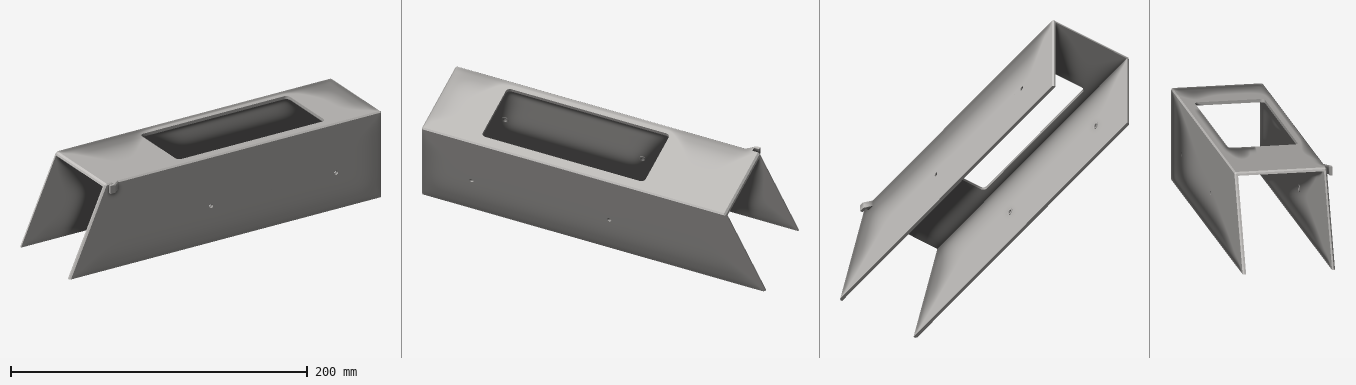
import cadquery as cq

LENGTH = 249.2
WIDTH = 63.5
HEIGHT = 63.8
THICKNESS = 2.2
EDGE_CHAMFER = 1.0
FRONT_SETBACK = 29.0

WINDOW_WIDTH = 48.0
WINDOW_LENGTH = 118.0
WINDOW_REAR_MARGIN = 40.0
WINDOW_RADIUS = 3.0
WINDOW_LEFT_MARGIN = 8.2

HOLE_DIAMETER = 3.0
PAD_DIAMETER = 5.0
PAD_HEIGHT = 0.5
HOLE_HEIGHT = 27.0
HOLE_REAR_OFFSETS = (36.5, 136.3)

HOOK_REACH = 4.0
HOOK_DEPTH = 6.0
HOOK_FRONT = 30.1
HOOK_FINGER_LENGTH = 3.7
HOOK_FINGER_WIDTH = 2.0
HOOK_ARM_ROOT = 6.2
HOOK_CHAMFER = 0.7


def side_profile_solid(start_x, width):
    """Wall-shaped block with a raked front, extruded along X."""
    return (
        cq.Workplane("YZ", origin=(start_x, 0, 0))
        .polyline([(0, 0), (LENGTH, 0), (LENGTH, HEIGHT), (FRONT_SETBACK, HEIGHT)])
        .close()
        .extrude(width)
    )


def make_channel():
    outer = side_profile_solid(0, WIDTH)
    outer = outer.edges("not(<Z)").chamfer(EDGE_CHAMFER)
    cavity = cq.Workplane("XY").box(
        WIDTH - 2 * THICKNESS, LENGTH, HEIGHT - THICKNESS, centered=False
    )
    return outer.cut(cavity.translate((THICKNESS, 0, 0)))


def make_window():
    front_y = LENGTH - WINDOW_REAR_MARGIN - WINDOW_LENGTH
    return (
        cq.Workplane("XY", origin=(WINDOW_LEFT_MARGIN, front_y, HEIGHT / 2))
        .box(WINDOW_WIDTH, WINDOW_LENGTH, HEIGHT, centered=False)
        .edges("|Z")
        .fillet(WINDOW_RADIUS)
    )


def cylinder_along_x(start_x, y, diameter, length):
    return (
        cq.Workplane("YZ", origin=(start_x, y, HOLE_HEIGHT))
        .circle(diameter / 2)
        .extrude(length)
    )


def make_hook():
    root_x = WIDTH - EDGE_CHAMFER
    tip_x = WIDTH + HOOK_REACH
    finger_x = tip_x - HOOK_FINGER_WIDTH
    finger_back = HOOK_FRONT + HOOK_FINGER_LENGTH
    arm_back = finger_back + HOOK_ARM_ROOT
    outline = [
        (root_x, finger_back),
        (finger_x, finger_back),
        (finger_x, HOOK_FRONT),
        (tip_x, HOOK_FRONT),
        (tip_x, finger_back),
        (root_x, arm_back),
    ]
    hook = (
        cq.Workplane("XY", origin=(0, 0, HEIGHT - HOOK_DEPTH))
        .polyline(outline)
        .close()
        .extrude(HOOK_DEPTH)
    )
    arm_middle = ((root_x + tip_x) / 2, (arm_back + finger_back) / 2, HEIGHT)
    return hook.edges(cq.NearestToPointSelector(arm_middle)).chamfer(HOOK_CHAMFER)


result = make_channel().cut(make_window()).union(make_hook())

for rear_offset in HOLE_REAR_OFFSETS:
    hole_y = LENGTH - rear_offset
    for pad_x in (THICKNESS, WIDTH - THICKNESS - PAD_HEIGHT):
        result = result.union(cylinder_along_x(pad_x, hole_y, PAD_DIAMETER, PAD_HEIGHT))
    result = result.cut(cylinder_along_x(0, hole_y, HOLE_DIAMETER, WIDTH))